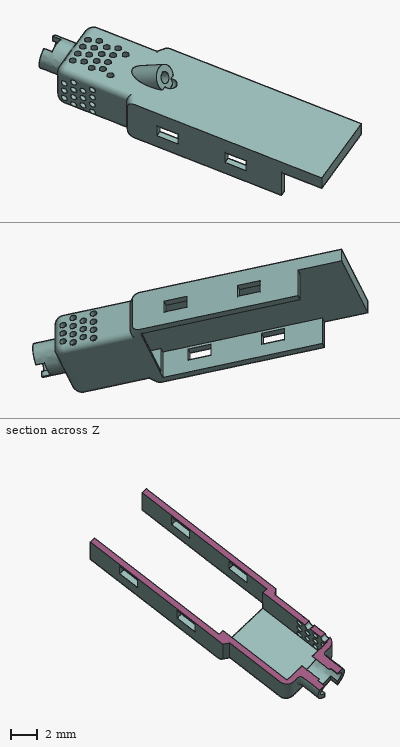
import cadquery as cq
import math

part_length = 24.9
body_width = 6.3
body_height = 3.66
wall = 0.5
head_floor = 0.25

plate_thickness = 1.15
tongue_length = 3.43
ceiling_z = body_height - plate_thickness
wall_end_x = part_length - tongue_length

head_front_x = 1.95
head_width = 5.44
shoulder_run = 0.31
near_shoulder_x = 8.1
far_shoulder_x = 7.78
head_edge_radius = 0.5
front_radius = 0.75
plenum_front_x = head_front_x + wall

nozzle_z = 1.92
nozzle_width = 2.96
nozzle_height = 2.36
bore_width = 2.36
bore_height = 1.28
nozzle_slot_width = 1.4
nozzle_slot_depth = 0.69
nozzle_root_radius = 0.2

vent_diameter = 0.5
vent_pitch = 0.8
vent_first_x = 2.8
vent_stagger = 0.3
top_vent_y = 1.05
top_vent_columns = 4
top_vent_rows = 4
side_vent_z = 0.83
side_vent_columns = 4
short_side_column = 3
long_side_column = 4

window_length = 1.8
window_height = 1.07
window_bottom_z = 1.2
window_start_xs = (10.9, 16.68)

tube_diameter = 2.0
tube_bore_diameter = 0.9
tube_angle = 30
tube_tip_x = 9.4
tube_tip_z = 4.96
dimple_radius = 0.5
dimple_x = 10.36

overcut = 1.0

selection_margin = 0.01


def box(x_range, y_range, z_range):
    """Box spanning the given ranges."""
    size = [high - low for low, high in (x_range, y_range, z_range)]
    corner = cq.Vector(x_range[0], y_range[0], z_range[0])
    return cq.Workplane(cq.Solid.makeBox(*size, corner))


def oval_bar(width, height, start_x, end_x):
    """Elliptical bar along X on the nozzle axis."""
    return (
        cq.Workplane("YZ", origin=(start_x, 0, nozzle_z))
        .ellipse(width / 2, height / 2)
        .extrude(end_x - start_x)
    )


def make_body():
    """Outer block with shoulders and a rounded head, before hollowing."""
    half_head = head_width / 2
    half_body = body_width / 2
    block = (
        cq.Workplane("XY")
        .polyline([
            (head_front_x, -half_head),
            (near_shoulder_x, -half_head),
            (near_shoulder_x + shoulder_run, -half_body),
            (part_length, -half_body),
            (part_length, half_body),
            (far_shoulder_x + shoulder_run, half_body),
            (far_shoulder_x, half_head),
            (head_front_x, half_head),
        ])
        .close()
        .extrude(body_height)
    )
    shoulder_end_x = near_shoulder_x + shoulder_run
    long_edges = cq.selectors.BoxSelector(
        (head_front_x + overcut, -half_body, -overcut),
        (shoulder_end_x, half_body, body_height + overcut),
    )
    block = block.edges("#Z").edges(long_edges).fillet(head_edge_radius)
    return block.faces("<X").edges().fillet(front_radius)


def add_nozzle(body):
    """Oval nozzle blended into the front of the head."""
    body = body.union(oval_bar(nozzle_width, nozzle_height, 0, plenum_front_x))
    half_width = nozzle_width / 2 + selection_margin
    half_height = nozzle_height / 2 + selection_margin
    root = cq.selectors.BoxSelector(
        (head_front_x - selection_margin, -half_width, nozzle_z - half_height),
        (plenum_front_x, half_width, nozzle_z + half_height),
        boundingbox=True,
    )
    return body.edges(root).fillet(nozzle_root_radius)


def tube_plane():
    """Plane of the tube's slanted end, centred on its axis, with Z pointing out of the tube."""
    angle = math.radians(tube_angle)
    radius = tube_diameter / 2
    centre = (tube_tip_x + radius * math.sin(angle), 0, tube_tip_z - radius * math.cos(angle))
    return cq.Plane(origin=centre, xDir=(0, 1, 0), normal=(math.cos(angle), 0, math.sin(angle)))


def tube_bar(diameter, floor_z):
    """Slanted bar from the tube's end down to the level floor_z."""
    plane = tube_plane()
    reach = 2 * (plane.origin.z - floor_z) / math.sin(math.radians(tube_angle))
    bar = cq.Workplane(plane).circle(diameter / 2).extrude(-reach)
    roof_zone = box((0, part_length), (-body_width, body_width), (floor_z, tube_tip_z + overcut))
    return bar.intersect(roof_zone)


def add_tube(body):
    """Slanted tube standing on the roof."""
    return body.union(tube_bar(tube_diameter, ceiling_z))


def cut_cavity(body):
    """Closed plenum in the head, opening into a channel with an open bottom and rear."""
    half_plenum = head_width / 2 - wall
    half_channel = body_width / 2 - wall
    channel_x = near_shoulder_x + shoulder_run + wall
    plenum = box((plenum_front_x, channel_x), (-half_plenum, half_plenum), (head_floor, ceiling_z))
    channel = box((channel_x, wall_end_x), (-half_channel, half_channel), (-overcut, ceiling_z))
    rear = box((wall_end_x, part_length + overcut), (-body_width, body_width), (-overcut, ceiling_z))
    return body.cut(plenum).cut(channel).cut(rear)


def cut_nozzle(body):
    """Oval bore into the plenum and a cross slot in the nozzle tip."""
    half_slot = nozzle_slot_width / 2
    slot = box((-overcut, nozzle_slot_depth), (-half_slot, half_slot), (0, body_height))
    return body.cut(oval_bar(bore_width, bore_height, -overcut, plenum_front_x)).cut(slot)


def cut_tube_bore(body):
    """Tube bore down to the channel, and the round dimple behind the tube."""
    dimple = cq.Workplane("XY", origin=(dimple_x, 0, body_height)).sphere(dimple_radius)
    dimple = dimple.cut(tube_bar(tube_diameter, ceiling_z))
    return body.cut(tube_bar(tube_bore_diameter, ceiling_z)).cut(dimple)


def top_vent_points():
    """Staggered columns, then a last column holding only its two end vents."""
    points = []
    for column in range(top_vent_columns + 1):
        x = vent_first_x + column * vent_pitch
        first_y = top_vent_y + vent_stagger * (column % 2)
        rows = range(top_vent_rows)
        if column == top_vent_columns:
            rows = (0, top_vent_rows - 1)
        points += [(x, first_y - row * vent_pitch) for row in rows]
    return points


def side_vent_points():
    """Columns of three and four vents in turn, the longer ones starting lower."""
    points = []
    for column in range(side_vent_columns):
        x = vent_first_x + column * vent_pitch
        is_long = column % 2 == 1
        first_z = side_vent_z - vent_stagger * is_long
        rows = long_side_column if is_long else short_side_column
        points += [(x, first_z + row * vent_pitch) for row in range(rows)]
    return points


def cut_vents(body):
    """Vents through the roof and through the -Y wall of the head."""
    top_vents = (
        cq.Workplane("XY", origin=(0, 0, ceiling_z))
        .pushPoints(top_vent_points())
        .circle(vent_diameter / 2)
        .extrude(plate_thickness + overcut)
    )
    side_vents = (
        cq.Workplane("XZ", origin=(0, wall - head_width / 2, 0))
        .pushPoints(side_vent_points())
        .circle(vent_diameter / 2)
        .extrude(wall + overcut)
    )
    return body.cut(top_vents).cut(side_vents)


def cut_windows(body):
    """Rectangular windows through both side walls."""
    for start_x in window_start_xs:
        body = body.cut(box(
            (start_x, start_x + window_length),
            (-body_width, body_width),
            (window_bottom_z, window_bottom_z + window_height),
        ))
    return body


body = add_tube(add_nozzle(make_body()))
body = cut_cavity(body)
body = cut_nozzle(body)
body = cut_tube_bore(body)
body = cut_vents(body)
result = cut_windows(body)